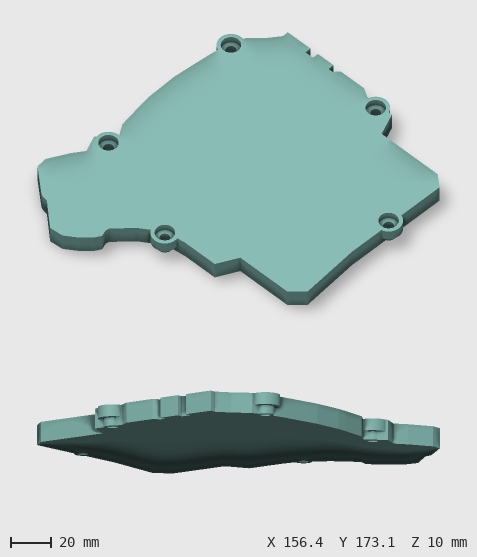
import cadquery as cq

thickness = 10.0
boss_depth = 5.9
counterbore_depth = 4.0

boss_diameter = 14.2
foot_diameter = 8.5
counterbore_diameter = 10.0
hole_diameter = 5.4

left_boss_x = 15.2
boss_centres = [
    (left_boss_x, 146.7),
    (left_boss_x, 59.5),
    (75.1, 36.5),
    (94.5, 166.0),
    (149.3, 117.5),
]

tooth_top_y = 171.8
shoulder_top_y = 171.2
notch_floor_y = 168.3
right_block_top_y = 155.8
right_block_bottom_y = 50.2
step_bottom_y = 38.6

toothed_edge = [
    (29.8, notch_floor_y),
    (29.8, tooth_top_y),
    (45.0, tooth_top_y),
    (45.0, notch_floor_y),
    (50.0, notch_floor_y),
    (50.0, tooth_top_y),
    (60.6, tooth_top_y),
    (60.6, notch_floor_y),
    (63.9, notch_floor_y),
    (64.2, 169.5),
    (66.0, shoulder_top_y),
    (81.9, shoulder_top_y),
    (86.5, notch_floor_y),
    (103.4, notch_floor_y),
]
right_block = [
    (108.2, right_block_top_y),
    (146.1, right_block_top_y),
    (152.5, 150.3),
    (150.1, 90.5),
    (152.0, 57.1),
    (144.8, right_block_bottom_y),
    (113.0, right_block_bottom_y),
    (106.8, step_bottom_y),
]
lower_lobe = [
    (87.0, step_bottom_y),
    (75.1, 37.2),
    (63.2, 29.3),
    (53.7, 19.7),
    (53.2, 17.7),
    (54.4, 13.9),
    (52.3, 10.4),
    (47.1, 5.4),
    (40.2, 0.7),
    (32.4, 0.0),
    (19.2, 11.6),
    (15.8, 12.3),
    (14.2, 13.0),
    (0.5, 24.6),
    (0.0, 30.6),
    (6.5, 42.2),
    (11.0, 48.3),
]
left_side = [
    (7.3, 57.7),
    (16.3, 65.8),
    (12.0, 72.9),
    (9.7, 89.5),
    (9.2, 95.2),
    (9.2, 112.4),
    (9.9, 118.3),
    (12.0, 134.9),
    (12.8, 140.0),
    (17.3, 154.8),
    (25.0, 162.0),
]


def cylinder_down(diameter, top_z, depth):
    """One cylinder at every boss centre, reaching down from top_z."""
    return (
        cq.Workplane("XY")
        .workplane(offset=top_z)
        .pushPoints(boss_centres)
        .circle(diameter / 2)
        .extrude(-depth)
    )


outline = toothed_edge + right_block + lower_lobe + left_side
plate = cq.Workplane("XY").polyline(outline).close().extrude(thickness)

heads = cylinder_down(boss_diameter, thickness, boss_depth)
feet = cylinder_down(foot_diameter, thickness, thickness)
body = plate.union(heads).union(feet)

counterbores = cylinder_down(counterbore_diameter, thickness, counterbore_depth)
holes = cylinder_down(hole_diameter, thickness, thickness)
result = body.cut(counterbores).cut(holes)